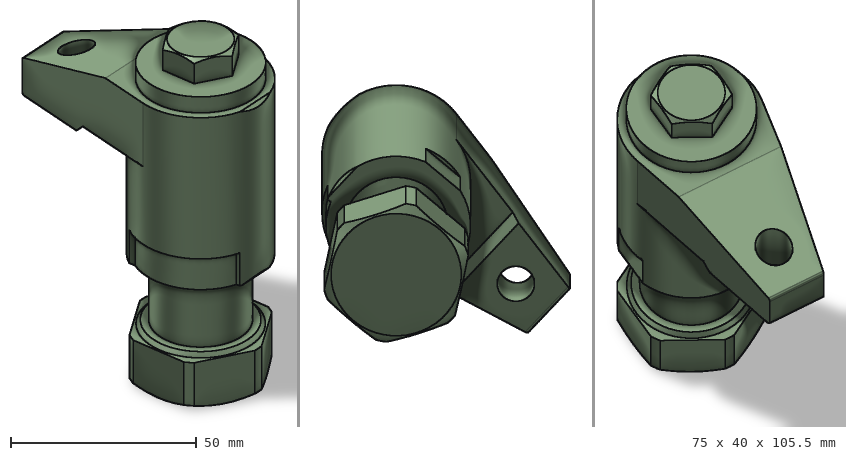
import cadquery as cq
import math

overall_length = 75.0
barrel_radius = 40.0 / 2
barrel_bottom = 37.8
barrel_top = 93.0
barrel_top_bevel = 1.1
barrel_bottom_bevel = 0.8
bevel_rise = 1.1
barrel_bottom_heel = 0.2
arm_tip_x = barrel_radius - overall_length
arm_tip_half_width = 17.0 / 2
arm_tip_top = 82.0
arm_bottom = 72.9
foot_drop = 2.6
foot_end_x = -32.1
tip_fillet = 1.0
arm_hole_x = -43.0
arm_hole_diameter = 10.0

relief_top = 48.2
relief_radius = 18.9
relief_wall_y = -16.4
relief_end_wall_y = -6.5
back_flat_y = 19.0

post_radius = 28.0 / 2
foot_flats = 36.0
foot_hex_top = 15.2
foot_bottom_radius = 17.5
foot_bevel_rise = 1.5
collar_base_radius = 17.4
collar_top_radius = 16.2
collar_top = 16.5

flange_radius = 17.5
flange_top = 98.1
bolt_flats = 19.0
bolt_top = 105.5
bolt_crown_radius = 9.1

cos_30 = math.cos(math.radians(30))
tan_30 = math.tan(math.radians(30))


def cylinder(radius, bottom, top):
    """Vertical cylinder on the main axis."""
    return cq.Workplane("XY").workplane(offset=bottom).circle(radius).extrude(top - bottom)


def hexagon(flats, bottom, top):
    """Vertical hexagonal prism with two corners on the X axis."""
    return cq.Workplane("XY").workplane(offset=bottom).polygon(6, flats / cos_30).extrude(top - bottom)


def turned(profile):
    """Solid of revolution from (radius, z) points."""
    return cq.Workplane("XZ").polyline(profile).close().revolve(360, (0, 0, 0), (0, 1, 0))


def side_plate(profile):
    """(x, z) profile extruded across the whole width of the barrel."""
    return cq.Workplane("XZ").polyline(profile).close().extrude(barrel_radius, both=True)


def make_barrel():
    """Barrel with flat bevels across its outermost edges."""
    envelope = side_plate([
        (-barrel_radius, barrel_top),
        (-barrel_radius, barrel_bottom + barrel_bottom_heel),
        (-barrel_radius + barrel_bottom_heel, barrel_bottom),
        (barrel_radius - barrel_bottom_bevel, barrel_bottom),
        (barrel_radius, barrel_bottom + bevel_rise),
        (barrel_radius, barrel_top - bevel_rise),
        (barrel_radius - barrel_top_bevel, barrel_top),
    ])
    return cylinder(barrel_radius, barrel_bottom, barrel_top).intersect(envelope)


def make_arm():
    """Arm whose sides run from the tip to tangency with the barrel."""
    tip_distance = math.hypot(arm_tip_x, arm_tip_half_width)
    tip_angle = math.atan2(arm_tip_half_width, arm_tip_x)
    tangent_angle = tip_angle - math.acos(barrel_radius / tip_distance)
    tangent_x = barrel_radius * math.cos(tangent_angle)
    tangent_y = barrel_radius * math.sin(tangent_angle)
    plan = (
        cq.Workplane("XY").workplane(offset=arm_bottom - foot_drop)
        .polyline([
            (arm_tip_x, -arm_tip_half_width),
            (tangent_x, -tangent_y),
            (tangent_x, tangent_y),
            (arm_tip_x, arm_tip_half_width),
        ])
        .close().extrude(barrel_top - arm_bottom + foot_drop)
    )
    side = side_plate([
        (arm_tip_x, arm_bottom - foot_drop),
        (foot_end_x, arm_bottom - foot_drop),
        (foot_end_x + foot_drop, arm_bottom),
        (tangent_x, arm_bottom),
        (tangent_x, barrel_top),
        (-barrel_radius, barrel_top),
        (arm_tip_x, arm_tip_top),
    ])
    side = side.faces("<X").edges("|Y").fillet(tip_fillet)
    hole = (
        cq.Workplane("XY").workplane(offset=arm_bottom - foot_drop)
        .center(arm_hole_x, 0).circle(arm_hole_diameter / 2).extrude(barrel_top - arm_bottom + foot_drop)
    )
    return plan.intersect(side).cut(hole)


def make_front_relief():
    """Arc-shaped relief between two walls parallel to X."""
    reach = 2 * barrel_radius
    wall_x = -math.sqrt(relief_radius**2 - relief_wall_y**2)
    end_wall_x = math.sqrt(relief_radius**2 - relief_end_wall_y**2)
    sector = (
        cq.Workplane("XY").workplane(offset=barrel_bottom)
        .polyline([
            (0, 0),
            (wall_x, relief_wall_y),
            (-reach, relief_wall_y),
            (-reach, -reach),
            (reach, -reach),
            (reach, relief_end_wall_y),
            (end_wall_x, relief_end_wall_y),
        ])
        .close().extrude(relief_top - barrel_bottom)
    )
    return sector.cut(cylinder(relief_radius, barrel_bottom, relief_top))


def make_back_relief():
    """Flat cut on the +Y side of the barrel."""
    return cq.Workplane("XY").box(
        2 * barrel_radius, barrel_radius, relief_top - barrel_bottom, centered=(True, False, False)
    ).translate((0, back_flat_y, barrel_bottom))


def make_clamp():
    clamp = make_barrel().union(make_arm())
    return clamp.cut(make_front_relief()).cut(make_back_relief())


def make_post():
    """Round post rising from a collared hexagon with trimmed corners."""
    trim = turned([
        (0, 0),
        (foot_bottom_radius, 0),
        (barrel_radius, foot_bevel_rise),
        (barrel_radius, foot_hex_top),
        (0, foot_hex_top),
    ])
    collar = turned([
        (0, foot_hex_top),
        (collar_base_radius, foot_hex_top),
        (collar_top_radius, collar_top),
        (0, collar_top),
    ])
    foot = hexagon(foot_flats, 0, foot_hex_top).intersect(trim)
    return foot.union(collar).union(cylinder(post_radius, collar_top, barrel_bottom))


def make_bolt():
    """Hexagon head on a round flange, with its top corners bevelled at 30 degrees."""
    corner_radius = bolt_flats / 2 / cos_30
    crown_drop = (corner_radius - bolt_crown_radius) * tan_30
    crown = turned([
        (0, flange_top),
        (corner_radius, flange_top),
        (corner_radius, bolt_top - crown_drop),
        (bolt_crown_radius, bolt_top),
        (0, bolt_top),
    ])
    head = hexagon(bolt_flats, flange_top, bolt_top).intersect(crown)
    return cylinder(flange_radius, barrel_top, flange_top).union(head)


clamp = make_clamp()
post = make_post()
bolt = make_bolt()
result = cq.Compound.makeCompound([clamp.val(), post.val(), bolt.val()])